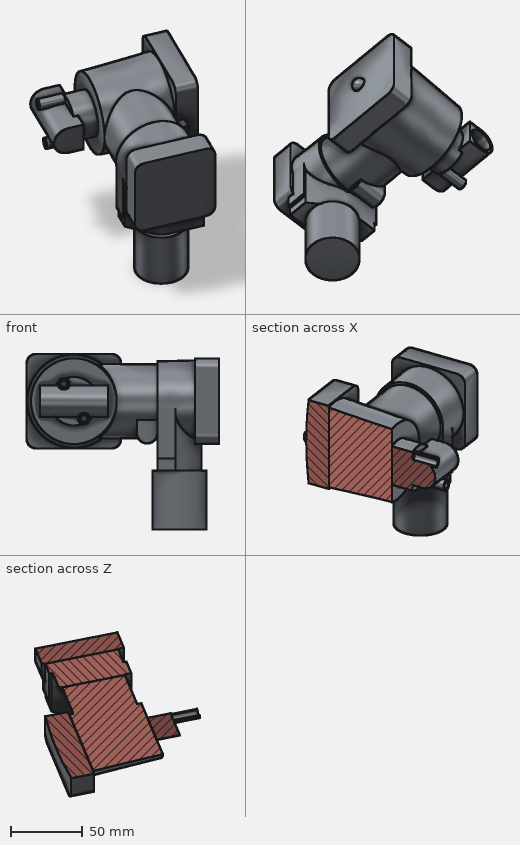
import cadquery as cq
import math


body_half_length = 26.0
body_back_radius = 32.7
body_front_radius = 30.0
journal_radius = 26.0
journal_end_x = 58.35

cover_thickness = 16.7
cover_corner_radius = 7.0
body_cover_size = 66.3
arm_cover_size = 60.0
dome_height = 2.0
button_radius = 5.0
button_rim_height = 1.0
button_height = 5.0

front_lug_width = 14.2
front_lug_top_z = -13.2
front_lug_bottom_z = -29.6
back_lug_end_x = 41.4
back_lug_end_y = 32.7
back_lug_height = 6.0

boss_radius = 17.0
boss_length = 16.8
bar_length = 47.7
bar_radius = 11.0
bar_center_y = -50.4
bar_bore_radius = 8.8
bar_bore_depth = 9.0
pin_radius = 4.0
pin_bore_radius = 2.5
pin_length = 18.95
pin_circle_radius = 14.0
first_pin_angle = 120.0

collar_length = 26.5
collar_start_radius = 28.0
collar_end_radius = 28.6
neck_radius = 15.5
neck_half_width = 26.0
neck_bottom_z = -48.5
strap_width = 12.9
strap_half_span = 27.75
strap_bottom_z = -40.2
outlet_radius = 19.0
outlet_bottom_z = -89.75

boss_end_y = -body_half_length - boss_length
body_cover_back_y = body_half_length + cover_thickness
collar_end_x = journal_end_x + collar_length
neck_center_x = journal_end_x + neck_radius
strap_end_x = journal_end_x + strap_width
neck_far_x = neck_center_x + neck_radius


def block(x_range, y_range, z_range):
    """Box between two limits on each axis."""
    sizes = [high - low for low, high in (x_range, y_range, z_range)]
    corner = (x_range[0], y_range[0], z_range[0])
    return cq.Workplane("XY").box(*sizes, centered=False).translate(corner)


def cylinder_along_y(radius, start_y, length, x=0.0, z=0.0):
    """Cylinder that runs from start_y toward -Y."""
    plane = cq.Workplane("XZ", origin=(x, start_y, z))
    return plane.circle(radius).extrude(length)


def make_front_lug():
    """Stop lug with a flat front and a round bottom, beside the end of the journal."""
    radius = front_lug_width / 2
    center_x = journal_end_x - radius
    round_center_z = front_lug_bottom_z + radius
    depth = math.sqrt(journal_radius**2 - front_lug_top_z**2)
    profile = (
        cq.Workplane("XZ")
        .moveTo(center_x - radius, front_lug_top_z)
        .lineTo(center_x + radius, front_lug_top_z)
        .lineTo(center_x + radius, round_center_z)
        .threePointArc((center_x, front_lug_bottom_z), (center_x - radius, round_center_z))
        .close()
    )
    return profile.extrude(depth)


def make_back_lug():
    """Stop lug behind the journal, against the side of the body cover."""
    return block(
        (body_cover_size / 2, back_lug_end_x),
        (0, back_lug_end_y),
        (-back_lug_height / 2, back_lug_height / 2),
    )


def make_swivel_body():
    cone = (
        cq.Workplane("XY")
        .moveTo(0, body_half_length)
        .lineTo(body_back_radius, body_half_length)
        .lineTo(body_front_radius, -body_half_length)
        .lineTo(0, -body_half_length)
        .close()
        .revolve(360, (0, 0, 0), (0, 1, 0))
    )
    journal = cq.Workplane("YZ").circle(journal_radius).extrude(journal_end_x)
    return cone.union(journal).union(make_front_lug()).union(make_back_lug())


def make_dome():
    """Shallow spherical cap on the back of the body cover."""
    base_radius = body_cover_size / 2
    apex_y = body_cover_back_y + dome_height
    sphere_radius = (base_radius**2 + dome_height**2) / (2 * dome_height)
    mid_radius = base_radius / 2
    mid_y = apex_y - sphere_radius + math.sqrt(sphere_radius**2 - mid_radius**2)
    return (
        cq.Workplane("XY")
        .moveTo(0, body_cover_back_y)
        .lineTo(base_radius, body_cover_back_y)
        .threePointArc((mid_radius, mid_y), (0, apex_y))
        .close()
        .revolve(360, (0, 0, 0), (0, 1, 0))
    )


def make_button():
    """Round-topped button at the middle of the dome."""
    base_y = body_cover_back_y + dome_height
    rim_y = base_y + button_rim_height
    top_y = base_y + button_height
    cap_height = button_height - button_rim_height
    sphere_radius = (button_radius**2 + cap_height**2) / (2 * cap_height)
    mid_radius = button_radius / 2
    mid_y = top_y - sphere_radius + math.sqrt(sphere_radius**2 - mid_radius**2)
    return (
        cq.Workplane("XY")
        .moveTo(0, body_cover_back_y)
        .lineTo(button_radius, body_cover_back_y)
        .lineTo(button_radius, rim_y)
        .threePointArc((mid_radius, mid_y), (0, top_y))
        .close()
        .revolve(360, (0, 0, 0), (0, 1, 0))
    )


def make_body_cover():
    plate = (
        cq.Workplane("XZ", origin=(0, body_cover_back_y, 0))
        .rect(body_cover_size, body_cover_size)
        .extrude(cover_thickness)
        .edges("|Y")
        .fillet(cover_corner_radius)
    )
    return plate.union(make_dome()).union(make_button())


def make_arm_cover():
    return (
        cq.Workplane("YZ", origin=(collar_end_x, 0, 0))
        .rect(arm_cover_size, arm_cover_size)
        .extrude(cover_thickness)
        .edges("|X")
        .fillet(cover_corner_radius)
    )


def make_bar():
    """Cross bar with a flat back and a round front."""
    bar_back_y = bar_center_y + bar_radius
    profile = (
        cq.Workplane("YZ", origin=(-bar_length / 2, 0, 0))
        .moveTo(bar_back_y, -bar_radius)
        .lineTo(bar_back_y, bar_radius)
        .lineTo(bar_center_y, bar_radius)
        .threePointArc((bar_center_y - bar_radius, 0), (bar_center_y, -bar_radius))
        .close()
    )
    return profile.extrude(bar_length)


def make_bar_bore():
    """Blind bore in the -X end of the bar, which also bites into the end of the boss."""
    return (
        cq.Workplane("YZ", origin=(-bar_length / 2, bar_center_y, 0))
        .circle(bar_bore_radius)
        .extrude(bar_bore_depth)
    )


def make_lever():
    """Round boss that carries the cross bar and two opposite hollow pins."""
    lever = cylinder_along_y(boss_radius, -body_half_length, boss_length).union(make_bar())
    for angle in (first_pin_angle, first_pin_angle + 180):
        x = pin_circle_radius * math.cos(math.radians(angle))
        z = pin_circle_radius * math.sin(math.radians(angle))
        pin = cylinder_along_y(pin_radius, boss_end_y, pin_length, x, z)
        pin_bore = cylinder_along_y(pin_bore_radius, boss_end_y, pin_length, x, z)
        lever = lever.union(pin).cut(pin_bore)
    return lever.cut(make_bar_bore())


def make_collar():
    return (
        cq.Workplane("XY")
        .moveTo(journal_end_x, 0)
        .lineTo(journal_end_x, collar_start_radius)
        .lineTo(collar_end_x, collar_end_radius)
        .lineTo(collar_end_x, 0)
        .close()
        .revolve(360, (0, 0, 0), (1, 0, 0))
    )


def neck_point(angle):
    """Point on the round of the neck, at an angle in radians from +X."""
    x = neck_center_x + neck_radius * math.cos(angle)
    y = neck_radius * math.sin(angle)
    return (x, y)


def tangent_angle(corner_x, corner_y):
    """Angle of the point where a line from the corner touches the neck round."""
    offset_x = corner_x - neck_center_x
    distance = math.hypot(offset_x, corner_y)
    return math.atan2(corner_y, offset_x) + math.acos(neck_radius / distance)


def make_neck():
    """S-shaped neck: a front lip and a back lip, each blending into a central round."""
    front_angle = tangent_angle(strap_end_x, -neck_half_width)
    back_angle = tangent_angle(neck_center_x, neck_half_width)
    profile = (
        cq.Workplane("XY", origin=(0, 0, neck_bottom_z))
        .moveTo(journal_end_x, -neck_half_width)
        .lineTo(strap_end_x, -neck_half_width)
        .lineTo(*neck_point(front_angle))
        .threePointArc(neck_point(front_angle / 2), (neck_far_x, 0))
        .lineTo(neck_far_x, neck_half_width)
        .lineTo(neck_center_x, neck_half_width)
        .lineTo(*neck_point(back_angle))
        .threePointArc(neck_point((back_angle + math.pi) / 2), (journal_end_x, 0))
        .close()
    )
    return profile.extrude(-neck_bottom_z)


def make_arm():
    front_strap = block(
        (journal_end_x, strap_end_x), (-strap_half_span, 0), (strap_bottom_z, 0)
    )
    back_strap = block(
        (neck_center_x, neck_far_x), (neck_half_width, strap_half_span), (strap_bottom_z, 0)
    )
    outlet = (
        cq.Workplane("XY", origin=(neck_center_x, 0, outlet_bottom_z))
        .circle(outlet_radius)
        .extrude(neck_bottom_z - outlet_bottom_z)
    )
    arm = make_collar().union(make_neck()).union(front_strap).union(back_strap).union(outlet)
    cover_space = block(
        (collar_end_x, collar_end_x + cover_thickness),
        (-arm_cover_size / 2, arm_cover_size / 2),
        (-arm_cover_size / 2, arm_cover_size / 2),
    )
    return arm.cut(cover_space)


swivel_body = make_swivel_body()
body_cover = make_body_cover()
lever = make_lever()
arm = make_arm()
arm_cover = make_arm_cover()

result = cq.Compound.makeCompound(
    [swivel_body.val(), body_cover.val(), lever.val(), arm.val(), arm_cover.val()]
)